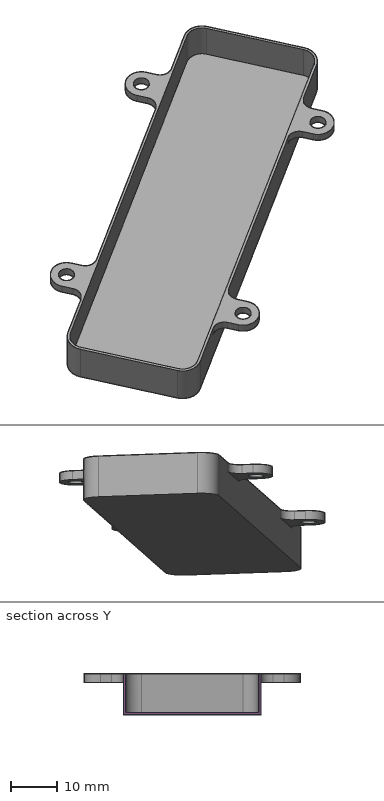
import cadquery as cq

tray_width = 30.0
tray_length = 98.0
tray_height = 9.0
corner_radius = 4.0
wall = 0.6
floor = 0.6

overall_width = 47.0
ear_thickness = 2.0
ear_radius = 3.5
ear_hole_diameter = 3.4
ear_spacing = 57.9
ear_fillet = 2.5
ear_hole_x = overall_width / 2 - ear_radius


def rounded_block(width, length, height, radius):
    """Upright block centred on the origin, with rounded vertical corners."""
    block = cq.Workplane("XY").box(width, length, height, centered=(True, True, False))
    return block.edges("|Z").fillet(radius)


def ear():
    """Ear on the +X side, flaring into the tray wall and rooted inside it."""
    wall_x = tray_width / 2
    root_x = wall_x - wall
    neck_x = wall_x + ear_fillet
    flare_y = ear_radius + ear_fillet
    arc_offset = ear_fillet * (1 - 0.5 ** 0.5)
    flare_mid_x = wall_x + arc_offset
    flare_mid_y = ear_radius + arc_offset
    return (
        cq.Workplane("XY")
        .moveTo(root_x, -flare_y)
        .lineTo(wall_x, -flare_y)
        .threePointArc((flare_mid_x, -flare_mid_y), (neck_x, -ear_radius))
        .lineTo(ear_hole_x, -ear_radius)
        .threePointArc((overall_width / 2, 0), (ear_hole_x, ear_radius))
        .lineTo(neck_x, ear_radius)
        .threePointArc((flare_mid_x, flare_mid_y), (wall_x, flare_y))
        .lineTo(root_x, flare_y)
        .close()
        .extrude(ear_thickness)
        .moveTo(ear_hole_x, 0)
        .circle(ear_hole_diameter / 2)
        .cutThruAll()
    )


body = rounded_block(tray_width, tray_length, tray_height, corner_radius)
cavity = rounded_block(
    tray_width - 2 * wall,
    tray_length - 2 * wall,
    tray_height - floor,
    corner_radius - wall,
).translate((0, 0, floor))
result = body.cut(cavity)

for turn in (0, 180):
    for y in (-ear_spacing / 2, ear_spacing / 2):
        placed_ear = ear().rotate((0, 0, 0), (0, 0, 1), turn)
        result = result.union(placed_ear.translate((0, y, tray_height - ear_thickness)))